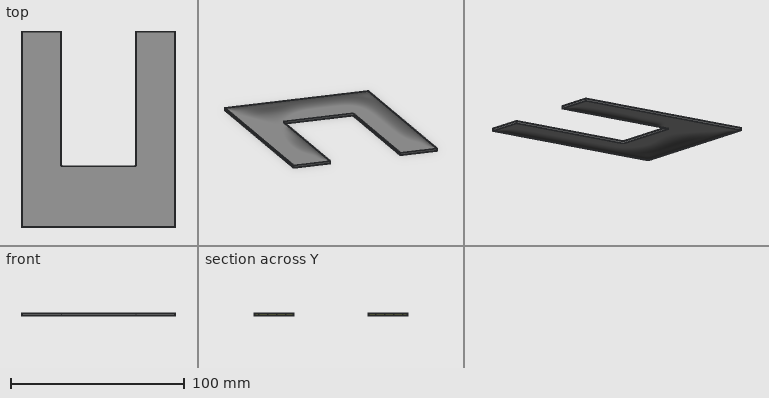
import cadquery as cq

plate_width = 88.2
plate_length = 112.7
plate_thickness = 1.5

arm_width = 22.5
base_length = 35.2
slot_corner_radius = 1.0
slot_width = plate_width - 2 * arm_width
slot_depth = plate_length - base_length


def make_plate():
    """Flat rectangular plate centred on the origin."""
    return cq.Workplane("XY").box(plate_width, plate_length, plate_thickness)


def make_slot():
    """Slot volume open at +Y, with its two inner corners rounded."""
    slot_centre_y = (plate_length - slot_depth) / 2
    return (
        cq.Workplane("XY")
        .box(slot_width, slot_depth, plate_thickness)
        .edges("|Z and <Y")
        .fillet(slot_corner_radius)
        .translate((0, slot_centre_y, 0))
    )


result = make_plate().cut(make_slot())